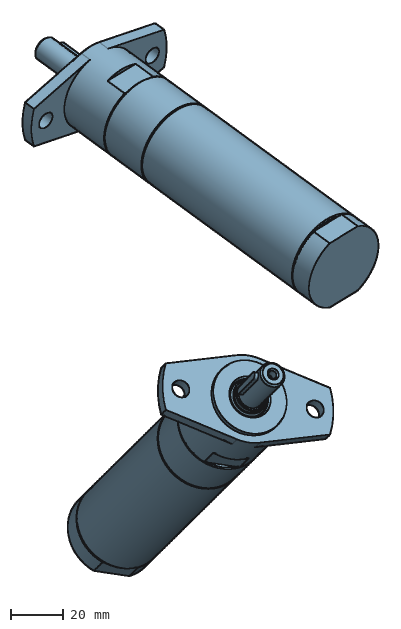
import cadquery as cq
import math


collar_start = 23.2
pilot_start = 24.3
flange_start = 26.3
flange_thickness = 5.1
gear_flats_start = 44.1
body_start = 53.8
body_joint = 74.8
cap_start = 160.5
total_length = 169.7

body_diameter = 36.0
pilot_diameter = 30.0
shaft_diameter = 10.0
edge_chamfer = 0.5
joint_groove_depth = 0.2
joint_groove_width = 0.5

across_flats = 33.0

flange_span = 70.0
flange_side_angle = 15.0
hole_diameter = 7.0
hole_spacing = 55.0

shaft_chamfer = 0.76
center_hole_diameter = 3.2
center_hole_depth = 5.1
center_mouth_diameter = 4.5
drill_tip_angle = 120.0

key_start = 2.9
key_length = 18.3
key_width = 3.0
key_top = 6.5

seal_recess_diameter = 17.0
seal_floor_diameter = 15.5
seal_recess_depth = 1.5
seal_ridge_outer_diameter = 15.0
seal_ridge_crest_diameter = 13.4
seal_ridge_height = 1.0
collar_tip_diameter = 11.9
collar_neck_diameter = 11.4
collar_lip_width = 0.2

body_radius = body_diameter / 2
shaft_radius = shaft_diameter / 2


def revolve_profile(points):
    """Turn an (x, radius) outline around the X axis."""
    return cq.Workplane("XY").polyline(points).close().revolve(360, (0, 0, 0), (1, 0, 0))


def cylinder(start, end, diameter):
    return cq.Workplane("YZ", origin=(start, 0, 0)).circle(diameter / 2).extrude(end - start)


def make_shaft():
    tip_radius = shaft_radius - shaft_chamfer
    return revolve_profile([
        (0, 0),
        (0, tip_radius),
        (shaft_chamfer, shaft_radius),
        (flange_start, shaft_radius),
        (flange_start, 0),
    ])


def make_center_hole():
    hole_radius = center_hole_diameter / 2
    mouth_radius = center_mouth_diameter / 2
    mouth_depth = mouth_radius - hole_radius
    tip_length = hole_radius / math.tan(math.radians(drill_tip_angle / 2))
    return revolve_profile([
        (0, 0),
        (0, mouth_radius),
        (mouth_depth, hole_radius),
        (center_hole_depth, hole_radius),
        (center_hole_depth + tip_length, 0),
    ])


def make_key():
    """Round-ended key, standing on the shaft axis and rising past the shaft surface."""
    return (
        cq.Workplane("XZ", origin=(key_start + key_length / 2, 0, 0))
        .slot2D(key_length, key_width)
        .extrude(-key_top)
    )


def make_pilot():
    """Pilot disc with the chamfered seal recess, the seal ridge and the collar around the shaft."""
    pilot = cylinder(pilot_start, flange_start, pilot_diameter)
    floor = pilot_start + seal_recess_depth
    mouth_chamfer = (seal_recess_diameter - seal_floor_diameter) / 2
    recess = revolve_profile([
        (pilot_start, 0),
        (pilot_start, seal_recess_diameter / 2),
        (pilot_start + mouth_chamfer, seal_floor_diameter / 2),
        (floor, seal_floor_diameter / 2),
        (floor, 0),
    ])
    ridge = revolve_profile([
        (floor, seal_ridge_outer_diameter / 2),
        (floor - seal_ridge_height, seal_ridge_crest_diameter / 2),
        (floor, collar_tip_diameter / 2),
    ])
    collar = cylinder(collar_start, flange_start, collar_neck_diameter)
    lip = cylinder(collar_start, collar_start + collar_lip_width, collar_tip_diameter)
    return pilot.cut(recess.cut(ridge)).union(collar).union(lip)


def make_flange():
    """Diamond plate: straight sides tangent to the body, ends rounded about the X axis."""
    slope = math.radians(flange_side_angle)
    end_radius = flange_span / 2
    peak = body_radius / math.cos(slope)
    half_height_at_end = peak - end_radius * math.tan(slope)
    plane = cq.Workplane("YZ", origin=(flange_start, 0, 0))
    diamond = (
        plane.polyline([
            (0, peak),
            (end_radius, half_height_at_end),
            (end_radius, -half_height_at_end),
            (0, -peak),
            (-end_radius, -half_height_at_end),
            (-end_radius, half_height_at_end),
        ])
        .close()
        .extrude(flange_thickness)
    )
    round_ends = plane.circle(end_radius).extrude(flange_thickness)
    tangent_offset = body_radius * math.sin(slope)
    middle_band = plane.rect(2 * tangent_offset, 2 * peak).extrude(flange_thickness)
    plate = diamond.intersect(round_ends).cut(middle_band)
    plate = plate.union(cylinder(flange_start, flange_start + flange_thickness, body_diameter))
    holes = (
        plane.pushPoints([(-hole_spacing / 2, 0), (hole_spacing / 2, 0)])
        .circle(hole_diameter / 2)
        .extrude(flange_thickness)
    )
    return plate.cut(holes)


def make_flatted_section(start, end):
    """Round section with a wrench flat on top and underneath."""
    flats = cq.Workplane("YZ", origin=(start, 0, 0)).rect(body_diameter, across_flats).extrude(end - start)
    return cylinder(start, end, body_diameter).intersect(flats)


def make_body():
    """Motor tube with chamfered ends and a shallow groove where its two lengths meet."""
    body = cylinder(body_start, cap_start, body_diameter).edges().chamfer(edge_chamfer)
    groove_end = body_joint + joint_groove_width
    groove_floor = cylinder(body_joint, groove_end, body_diameter - 2 * joint_groove_depth)
    groove = cylinder(body_joint, groove_end, body_diameter).cut(groove_floor)
    return body.cut(groove)


result = (
    make_shaft()
    .union(make_key())
    .cut(make_center_hole())
    .union(make_pilot())
    .union(make_flange())
    .union(cylinder(flange_start, gear_flats_start, body_diameter))
    .union(make_flatted_section(gear_flats_start, body_start))
    .union(make_body())
    .union(make_flatted_section(cap_start, total_length))
)